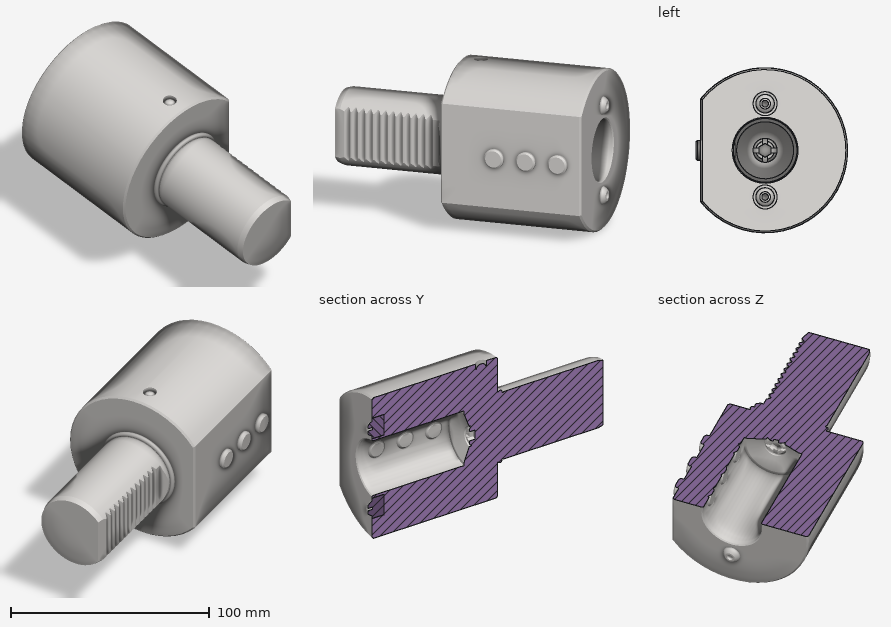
import cadquery as cq
import math


HEAD_DIAMETER = 83.0
HEAD_RADIUS = HEAD_DIAMETER / 2
HEAD_LENGTH = 75.0
HEAD_CHAMFER = 0.91
HEAD_FLAT_Y = 32.5

SHANK_RADIUS = 20.02
SHANK_LENGTH = 63.0
SHANK_TIP_LENGTH = 3.1
SHANK_TIP_DROP = 0.8
NECK_RADIUS = 19.7
NECK_LENGTH = 3.4
BEAD_OUTER_RADIUS = 21.5
BEAD_SECTION_RADIUS = 1.33
BEAD_CENTER = 1.3

RACK_TOP_Y = 16.0
RACK_START = 4.6
RACK_RAMP_LENGTH = 1.7
RACK_RAMP_DROP = 2.4
GROOVE_COUNT = 12
GROOVE_PITCH = 4.0
GROOVE_DEPTH = 1.7
GROOVE_FLOOR_WIDTH = 0.4
GROOVE_MOUTH_WIDTH = 3.2
FIRST_GROOVE = 11.7
RACK_LEAD_LENGTH = 5.3
RACK_LEAD_DROP = 1.5

BORE_RADIUS = 16.0
BORE_DEPTH = 54.8
BORE_CHAMFER = 0.5
CONE_MOUTH_RADIUS = 14.3
CONE_DEPTH = 3.1

PLUG_RADIUS = 6.0
PLUG_CHAMFER = 1.4
PLUG_SLOT_WIDTH = 2.5
PLUG_SLOT_DEPTH = 1.4
PLUG_HEX_FLATS = 6.0
PLUG_HEX_DEPTH = 3.5

SCREW_RADIUS = 5.0
SCREW_TOP_Y = 34.8
SCREW_TIP_Y = 15.2
SCREW_TOP_CHAMFER = 0.8
SCREW_TIP_CHAMFER = 1.3
FIRST_SCREW_X = 12.1
SCREW_PITCH = 17.0
SCREW_COUNT = 3

CROSS_HOLE_X = 65.0
CROSS_HOLE_RADIUS = 3.5
SEAL_BALL_RECESS = 0.5

NOZZLE_OFFSET_Z = 23.5
NOZZLE_RADIUS = 6.0
NOZZLE_DEPTH = 7
NOZZLE_PROJECTION = 2.5
NOZZLE_BALL_RADIUS = 4.9
NOZZLE_TIP_RADIUS = 2.7
NOZZLE_HOLE_RADIUS = 1.7
NOZZLE_HOLE_DEPTH = 2.8
DRILL_POINT_HALF_ANGLE = 59

SHANK_END_X = HEAD_LENGTH + SHANK_LENGTH


def cylinder_x(radius, start, end):
    return cq.Workplane("YZ", origin=(start, 0, 0)).circle(radius).extrude(end - start)


def make_head():
    """Round block with one side cut flat, chamfered around both ends."""
    flat_half_width = math.sqrt(HEAD_RADIUS**2 - HEAD_FLAT_Y**2)
    head = (
        cq.Workplane("YZ")
        .moveTo(HEAD_FLAT_Y, flat_half_width)
        .threePointArc((-HEAD_RADIUS, 0), (HEAD_FLAT_Y, -flat_half_width))
        .close()
        .extrude(HEAD_LENGTH)
    )
    return head.faces("<X or >X").chamfer(HEAD_CHAMFER)


def make_rack_cutter():
    """Solid above the serrated flat, with its underside forming the grooves."""
    start = HEAD_LENGTH + RACK_START
    ramp_end = start + RACK_RAMP_LENGTH
    outline = [
        (start, BEAD_OUTER_RADIUS),
        (start, SHANK_RADIUS),
        (ramp_end, SHANK_RADIUS - RACK_RAMP_DROP),
        (ramp_end, RACK_TOP_Y),
    ]
    for i in range(GROOVE_COUNT):
        center = HEAD_LENGTH + FIRST_GROOVE + i * GROOVE_PITCH
        outline += [
            (center - GROOVE_MOUTH_WIDTH / 2, RACK_TOP_Y),
            (center - GROOVE_FLOOR_WIDTH / 2, RACK_TOP_Y - GROOVE_DEPTH),
            (center + GROOVE_FLOOR_WIDTH / 2, RACK_TOP_Y - GROOVE_DEPTH),
            (center + GROOVE_MOUTH_WIDTH / 2, RACK_TOP_Y),
        ]
    outline += [
        (SHANK_END_X - RACK_LEAD_LENGTH, RACK_TOP_Y),
        (SHANK_END_X, RACK_TOP_Y - RACK_LEAD_DROP),
        (SHANK_END_X, BEAD_OUTER_RADIUS),
    ]
    return cq.Workplane("XY").polyline(outline).close().extrude(SHANK_RADIUS, both=True)


def make_shank():
    neck_end = HEAD_LENGTH + NECK_LENGTH
    shank = cylinder_x(SHANK_RADIUS, neck_end, SHANK_END_X)
    shank = shank.faces(">X").chamfer(SHANK_TIP_LENGTH, SHANK_TIP_DROP)
    neck = cylinder_x(NECK_RADIUS, HEAD_LENGTH, neck_end)
    return shank.union(neck).cut(make_rack_cutter())


def make_bead():
    """Round sealing bead around the neck, against the rear face of the head."""
    section = cq.Workplane("XY").center(
        HEAD_LENGTH + BEAD_CENTER, BEAD_OUTER_RADIUS - BEAD_SECTION_RADIUS
    ).circle(BEAD_SECTION_RADIUS)
    axis_y = BEAD_SECTION_RADIUS - BEAD_OUTER_RADIUS
    return section.revolve(360, (0, axis_y, 0), (1, axis_y, 0))


def make_bore():
    profile = [
        (0, 0),
        (0, BORE_RADIUS + BORE_CHAMFER),
        (BORE_CHAMFER, BORE_RADIUS),
        (BORE_DEPTH, BORE_RADIUS),
        (BORE_DEPTH, CONE_MOUTH_RADIUS),
        (BORE_DEPTH + CONE_DEPTH, PLUG_RADIUS),
        (BORE_DEPTH + CONE_DEPTH + PLUG_CHAMFER, PLUG_RADIUS),
        (BORE_DEPTH + CONE_DEPTH, PLUG_RADIUS - PLUG_CHAMFER),
        (BORE_DEPTH + CONE_DEPTH, 0),
    ]
    return cq.Workplane("XY").polyline(profile).close().revolve(360, (0, 0, 0), (1, 0, 0))


def make_plug_recess():
    """Cross slots and hexagon socket in the end of the plug."""
    plug_face = cq.Workplane("YZ", origin=(BORE_DEPTH + CONE_DEPTH, 0, 0))
    slot = plug_face.rect(2 * PLUG_RADIUS, PLUG_SLOT_WIDTH).extrude(PLUG_SLOT_DEPTH)
    cross = slot.union(slot.rotate((0, 0, 0), (1, 0, 0), 90))
    cross = cross.intersect(cylinder_x(PLUG_RADIUS, 0, HEAD_LENGTH))
    hex_corners = PLUG_HEX_FLATS / math.cos(math.radians(30))
    hexagon = plug_face.transformed(rotate=(0, 0, 90)).polygon(6, hex_corners).extrude(PLUG_HEX_DEPTH)
    return cross.union(hexagon)


def screw_cylinder(x, end_y):
    start = cq.Workplane("XZ", origin=(x, SCREW_TOP_Y, 0))
    return start.circle(SCREW_RADIUS).extrude(SCREW_TOP_Y - end_y)


def make_screw_hole(x):
    """Hole from the flat into the bore; it leaves a groove around the chamfered screw tip."""
    return screw_cylinder(x, 0)


def make_screw(x):
    screw = screw_cylinder(x, SCREW_TIP_Y)
    screw = screw.faces(">Y").chamfer(SCREW_TOP_CHAMFER)
    return screw.faces("<Y").chamfer(SCREW_TIP_CHAMFER)


def make_cross_hole():
    """Radial hole in the top of the head, filled from below by the sealing ball."""
    ball_center_z = HEAD_RADIUS - SEAL_BALL_RECESS - CROSS_HOLE_RADIUS
    hole = cq.Workplane("XY", origin=(CROSS_HOLE_X, 0, ball_center_z)).circle(CROSS_HOLE_RADIUS)
    hole = hole.extrude(HEAD_RADIUS - ball_center_z)
    ball = cq.Workplane("XY").sphere(CROSS_HOLE_RADIUS).translate((CROSS_HOLE_X, 0, ball_center_z))
    return hole.cut(ball)


def nozzle_pocket(z):
    return cylinder_x(NOZZLE_RADIUS, 0, NOZZLE_DEPTH).translate((0, 0, z))


def make_nozzle(z):
    """Flush sleeve with a truncated ball standing out of it, drilled from the tip."""
    ball_center_x = math.sqrt(NOZZLE_BALL_RADIUS**2 - NOZZLE_TIP_RADIUS**2) - NOZZLE_PROJECTION
    ball = cq.Workplane("XY").sphere(NOZZLE_BALL_RADIUS).translate((ball_center_x, 0, 0))
    ball = ball.intersect(cylinder_x(NOZZLE_BALL_RADIUS, -NOZZLE_PROJECTION, NOZZLE_DEPTH))

    hole_end = NOZZLE_HOLE_DEPTH - NOZZLE_PROJECTION
    point_length = NOZZLE_HOLE_RADIUS / math.tan(math.radians(DRILL_POINT_HALF_ANGLE))
    hole_profile = [
        (-NOZZLE_PROJECTION, 0),
        (-NOZZLE_PROJECTION, NOZZLE_HOLE_RADIUS),
        (hole_end, NOZZLE_HOLE_RADIUS),
        (hole_end + point_length, 0),
    ]
    hole = cq.Workplane("XY").polyline(hole_profile).close().revolve(360, (0, 0, 0), (1, 0, 0))

    sleeve = cylinder_x(NOZZLE_RADIUS, 0, NOZZLE_DEPTH)
    return sleeve.union(ball).cut(hole).translate((0, 0, z))


nozzle_positions = [NOZZLE_OFFSET_Z, -NOZZLE_OFFSET_Z]

housing = make_head().union(make_shank()).union(make_bead()).cut(make_bore())
housing = housing.cut(make_plug_recess()).cut(make_cross_hole())
for i in range(SCREW_COUNT):
    screw_x = FIRST_SCREW_X + i * SCREW_PITCH
    housing = housing.cut(make_screw_hole(screw_x)).union(make_screw(screw_x))
for z in nozzle_positions:
    housing = housing.cut(nozzle_pocket(z))

nozzles = [make_nozzle(z) for z in nozzle_positions]

result = cq.Compound.makeCompound([housing.val(), *[nozzle.val() for nozzle in nozzles]])